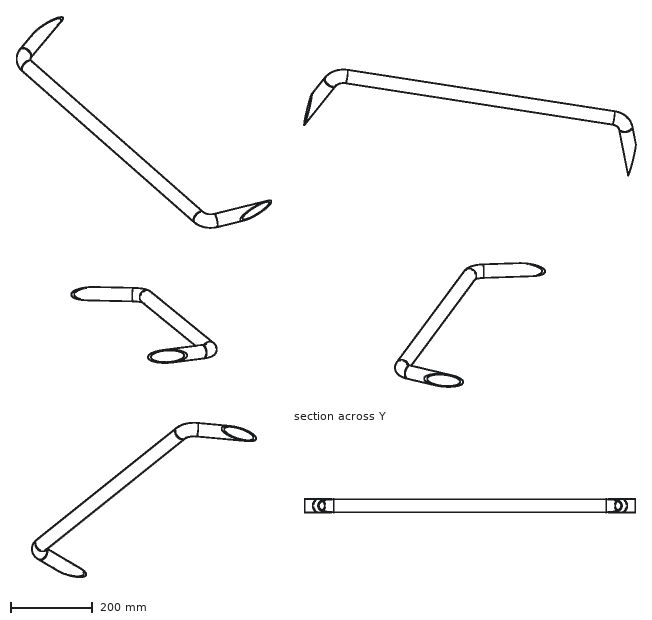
import cadquery as cq
import math

TUBE_DIAMETER = 33.7
WALL = 2.6
BAR_LENGTH = 665.0
BEND_RADIUS = 38.0
BEND_ANGLE = 70.0
LEG_LENGTH = 150.0

tube_radius = TUBE_DIAMETER / 2
bore_radius = tube_radius - WALL
bar_end_x = BAR_LENGTH / 2
bend_sine = math.sin(math.radians(BEND_ANGLE))
bend_cosine = math.cos(math.radians(BEND_ANGLE))

joint_x = bar_end_x + BEND_RADIUS * bend_sine
joint_y = BEND_RADIUS * (1 - bend_cosine)

mitre_x = joint_x + LEG_LENGTH * bend_cosine - tube_radius * bend_sine


def plane_across_bar(x):
    """Plane square to the bar at the given x, with its local x axis along +Y."""
    return cq.Plane(origin=(x, 0, 0), xDir=(0, 1, 0), normal=(1, 0, 0))


def ring(plane):
    """Tube cross-section centred on the given plane."""
    return cq.Workplane(plane).circle(tube_radius).circle(bore_radius)


def make_bar():
    """Straight tube along X, centred on the origin."""
    return ring(plane_across_bar(-bar_end_x)).extrude(BAR_LENGTH)


def make_elbow():
    """Right-hand tube bend, turning from +X towards +Y about a vertical axis."""
    return ring(plane_across_bar(bar_end_x)).revolve(BEND_ANGLE, (BEND_RADIUS, 0), (BEND_RADIUS, 1))


def make_leg():
    """Right-hand straight leg, cut off obliquely by the plane x = mitre_x."""
    joint = cq.Plane(
        origin=(joint_x, joint_y, 0),
        xDir=(0, 0, 1),
        normal=(bend_cosine, bend_sine, 0),
    )
    tube = ring(joint).extrude(LEG_LENGTH)
    block_size = 2 * LEG_LENGTH
    waste = (
        cq.Workplane("XY")
        .box(block_size, block_size, block_size, centered=(False, True, True))
        .translate((mitre_x, joint_y + LEG_LENGTH / 2, 0))
    )
    return tube.cut(waste).solids()


bodies = [make_bar().val()]
for make_side_body in (make_elbow, make_leg):
    right_body = make_side_body()
    left_body = right_body.mirror("YZ")
    bodies += [right_body.val(), left_body.val()]

result = cq.Compound.makeCompound(bodies)